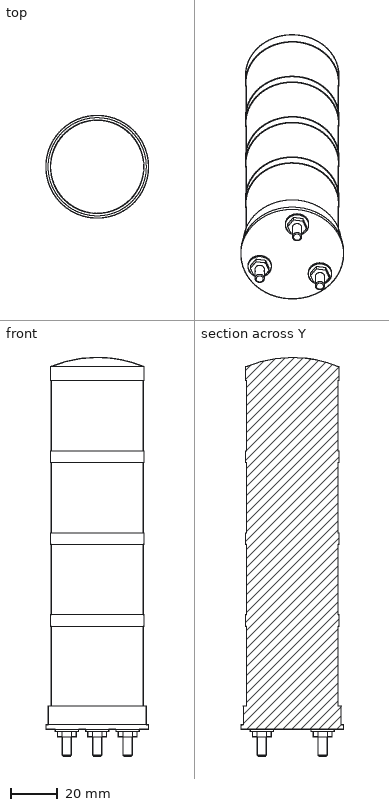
import cadquery as cq
import math


flange_radius = 22.0
flange_height = 2.0
base_radius = 21.0
base_top = 10.0

module_count = 4
module_pitch = 35.0
first_ring_bottom = 44.0
ring_height = 5.0
ring_radius = 20.0
lens_radius = 19.75

cap_height = 6.0
dome_height = 4.0

stud_count = 3
stud_circle_radius = 15.0
first_stud_angle = -90.0
stud_diameter = 4.0
stud_length = 11.5
stud_chamfer = 0.5
washer_diameter = 10.0
washer_thickness = 1.0
nut_sides = 6
nut_across_flats = 7.0
nut_height = 2.2

cap_bottom = first_ring_bottom + (module_count - 1) * module_pitch
cap_top = cap_bottom + cap_height


def cylinder(radius, bottom, top):
    """Cylinder on the Z axis between two heights."""
    return cq.Workplane("XY").workplane(offset=bottom).circle(radius).extrude(top - bottom)


def make_base():
    flange = cylinder(flange_radius, 0, flange_height)
    return flange.union(cylinder(base_radius, flange_height, base_top))


def make_light_column():
    column = cylinder(lens_radius, base_top, cap_bottom)
    for level in range(module_count - 1):
        ring_bottom = first_ring_bottom + level * module_pitch
        column = column.union(cylinder(ring_radius, ring_bottom, ring_bottom + ring_height))
    return column.union(cylinder(ring_radius, cap_bottom, cap_top))


def make_dome():
    """Spherical cap that spans the full cap radius."""
    sphere_radius = (ring_radius**2 + dome_height**2) / (2 * dome_height)
    half_chord = ring_radius / 2
    sphere_center = cap_top + dome_height - sphere_radius
    arc_height = sphere_center + math.sqrt(sphere_radius**2 - half_chord**2)
    return (
        cq.Workplane("XZ")
        .moveTo(0, cap_top)
        .lineTo(ring_radius, cap_top)
        .threePointArc((half_chord, arc_height), (0, cap_top + dome_height))
        .close()
        .revolve(360, (0, 0), (0, 1))
    )


def make_stud():
    """Stud hanging from z = 0 with its washer and hexagon nut (corners along X)."""
    washer = cylinder(washer_diameter / 2, -washer_thickness, 0)
    nut_across_corners = nut_across_flats / math.cos(math.pi / nut_sides)
    nut = (
        cq.Workplane("XY")
        .workplane(offset=-washer_thickness - nut_height)
        .polygon(nut_sides, nut_across_corners)
        .extrude(nut_height)
    )
    rod = cylinder(stud_diameter / 2, -stud_length, 0).faces("<Z").chamfer(stud_chamfer)
    return washer.union(nut).union(rod)


result = make_base().union(make_light_column()).union(make_dome())
stud = make_stud()
for index in range(stud_count):
    angle = math.radians(first_stud_angle + index * 360 / stud_count)
    stud_x = stud_circle_radius * math.cos(angle)
    stud_y = stud_circle_radius * math.sin(angle)
    result = result.union(stud.translate((stud_x, stud_y, 0)))